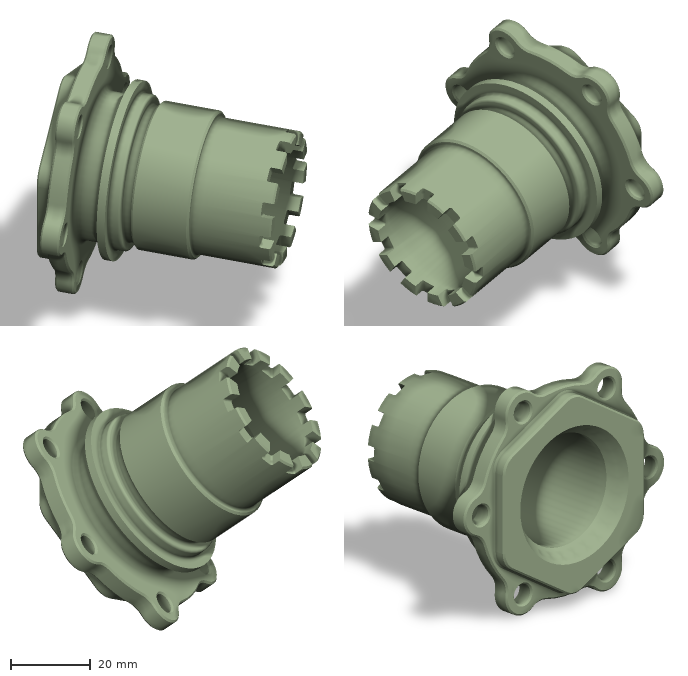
import cadquery as cq
import math


total_length = 59.2
hex_height = 3.6
flange_end = 8.6
collar_start = 15.55
collar_end = 17.6
step_end = 20.7
body_start = 23.2
body_end = 38.25

body_radius = 19.0
collar_radius = 23.05
step_radius = 20.0
barrel_radius = 17.5

edge_chamfer = 0.5
neck_fillet = 1.5
shoulder_round = 0.7
body_chamfer = 0.55
root_fillet = 0.5

hex_across_flats = 47.1
hex_corner_radius = 5.5
root_flare = edge_chamfer

flange_span = 66.95
lobe_count = 6
disc_radius = 28.0
lobe_radius = 5.55
bolt_circle_radius = flange_span / 2 - lobe_radius
lobe_blend_radius = 5.0
bolt_hole_radius = 2.7

entry_radius = 18.1
bore_radius = 14.9
entry_depth = 4.9
exit_radius = 14.0
taper_start = body_end
taper_length = 4.0

slot_count = 12
slot_width = 3.8
slot_depth = 2.95
slot_corner_radius = 0.5


def cylinder(x_start, x_end, radius):
    """Solid cylinder on the X axis."""
    return cq.Workplane("YZ").workplane(offset=x_start).circle(radius).extrude(x_end - x_start)


def rings(x, radius):
    """Selector test for the circular edges of a given radius, centred on the axis at station x."""

    tolerance = 0.001

    def matches(edge):
        if edge.geomType() != "CIRCLE":
            return False
        centre = edge.arcCenter()
        off_station = abs(centre.x - x) + math.hypot(centre.y, centre.z)
        return off_station < tolerance and abs(edge.radius() - radius) < tolerance

    return matches


def polar(radius, angle):
    """Point in the YZ plane at an angle in radians from the Y axis."""
    return (radius * math.cos(angle), radius * math.sin(angle))


def towards(start, end, distance):
    """Point at a distance from start along the line to end."""
    ratio = distance / math.dist(start, end)
    return (start[0] + ratio * (end[0] - start[0]), start[1] + ratio * (end[1] - start[1]))


def midpoint(start, end):
    """Point halfway between two points."""
    return towards(start, end, math.dist(start, end) / 2)


def make_flange():
    """Disc with six bolt lobes, joined to the disc by tangent concave arcs."""
    pitch = 2 * math.pi / lobe_count

    blend_to_axis = disc_radius + lobe_blend_radius
    blend_to_lobe = lobe_radius + lobe_blend_radius
    blend_angle = math.acos(
        (bolt_circle_radius**2 + blend_to_axis**2 - blend_to_lobe**2)
        / (2 * bolt_circle_radius * blend_to_axis)
    )

    outline = cq.Workplane("YZ").workplane(offset=hex_height).moveTo(*polar(disc_radius, -blend_angle))
    for i in range(lobe_count):
        angle = i * pitch
        lobe = polar(bolt_circle_radius, angle)
        blend_in = polar(blend_to_axis, angle - blend_angle)
        blend_out = polar(blend_to_axis, angle + blend_angle)
        lobe_start = towards(lobe, blend_in, lobe_radius)
        lobe_tip = polar(bolt_circle_radius + lobe_radius, angle)
        lobe_end = towards(lobe, blend_out, lobe_radius)
        disc_start = polar(disc_radius, angle - blend_angle)
        disc_end = polar(disc_radius, angle + blend_angle)
        crook_in = midpoint(disc_start, lobe_start)
        crook_out = midpoint(disc_end, lobe_end)
        outline = outline.threePointArc(towards(blend_in, crook_in, lobe_blend_radius), lobe_start)
        outline = outline.threePointArc(lobe_tip, lobe_end)
        outline = outline.threePointArc(towards(blend_out, crook_out, lobe_blend_radius), disc_end)
        next_disc_start = polar(disc_radius, angle + pitch - blend_angle)
        outline = outline.threePointArc(polar(disc_radius, angle + pitch / 2), next_disc_start)

    flange = outline.close().extrude(flange_end - hex_height)
    holes = (
        cq.Workplane("YZ")
        .workplane(offset=hex_height)
        .polarArray(bolt_circle_radius, 0, 360, lobe_count)
        .circle(bolt_hole_radius)
        .extrude(flange_end - hex_height)
    )
    return flange.cut(holes).faces("<X or >X").edges().chamfer(edge_chamfer)


def make_hex_head():
    """Rounded hexagon with corners toward +Z and -Z, chamfered in front and flared at its root."""
    corner_distance = hex_across_flats / math.sqrt(3)
    corners = [polar(corner_distance, math.pi / 2 + i * math.pi / 3) for i in range(6)]
    hexagon = cq.Workplane("YZ").polyline(corners).close().extrude(hex_height)
    hexagon = hexagon.edges("|X").fillet(hex_corner_radius)
    flare_outline = hexagon.faces(">X").wires().translate((-root_flare, 0, 0))
    flare_plane = cq.Workplane("YZ").workplane(offset=hex_height - root_flare)
    flare = flare_plane.add(flare_outline).toPending().extrude(root_flare, taper=-45)
    return hexagon.faces("<X").edges().chamfer(edge_chamfer).union(flare)


def make_sleeve():
    """Neck, collar, step, groove, body and barrel behind the flange."""
    sleeve = cylinder(flange_end, total_length, barrel_radius)
    sleeve = sleeve.union(cylinder(flange_end, collar_start, body_radius))
    sleeve = sleeve.union(cylinder(collar_start, collar_end, collar_radius))
    sleeve = sleeve.union(cylinder(collar_end, step_end, step_radius))
    return sleeve.union(cylinder(body_start, body_end, body_radius))


def blend_sleeve(part):
    """Round the shoulders and fillet the roots along the sleeve."""
    blends = [
        (flange_end, body_radius, neck_fillet),
        (collar_start, body_radius, neck_fillet),
        (collar_end, step_radius, root_fillet),
        (step_end, step_radius, shoulder_round),
        (step_end, barrel_radius, root_fillet),
        (body_start, barrel_radius, root_fillet),
        (body_end, barrel_radius, root_fillet),
    ]
    for x, radius, blend in blends:
        part = part.edges().filter(rings(x, radius)).fillet(blend)
    chamfers = [
        (body_start, body_radius, body_chamfer),
        (body_end, body_radius, body_chamfer),
        (total_length, barrel_radius, edge_chamfer),
    ]
    for x, radius, chamfer in chamfers:
        part = part.edges().filter(rings(x, radius)).chamfer(chamfer)
    return part


def make_bore():
    """Solid of the through opening: conical entry, main bore, then a short taper down to the exit bore."""
    return (
        cq.Workplane("XY")
        .moveTo(0, 0)
        .lineTo(0, entry_radius)
        .lineTo(entry_depth, bore_radius)
        .lineTo(taper_start, bore_radius)
        .lineTo(taper_start + taper_length, exit_radius)
        .lineTo(total_length, exit_radius)
        .lineTo(total_length, 0)
        .close()
        .revolve(360, (0, 0, 0), (1, 0, 0))
    )


def cut_slots(part):
    """Radial slots with rounded floor corners in the free end."""
    slot = (
        cq.Workplane("XY")
        .box(slot_depth, slot_width, body_radius, centered=(False, True, False))
        .edges("|Z and <X")
        .fillet(slot_corner_radius)
        .translate((total_length - slot_depth, 0, 0))
    )
    for i in range(slot_count):
        part = part.cut(slot.rotate((0, 0, 0), (1, 0, 0), i * 360 / slot_count))
    return part


part = make_hex_head().union(make_flange()).union(make_sleeve())
part = blend_sleeve(part).cut(make_bore())
result = cut_slots(part)